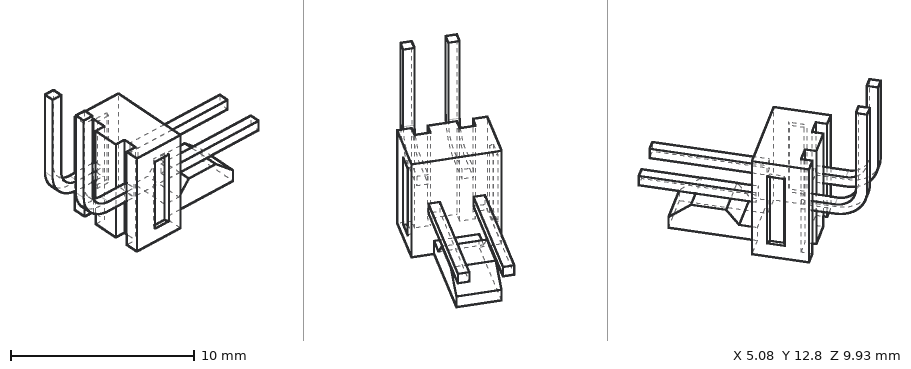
import cadquery as cq

PIN_PITCH = 2.54
PIN_COUNT = 2
HOUSING_WIDTH = PIN_PITCH * PIN_COUNT
HOUSING_DEPTH = 3.21
HOUSING_HEIGHT = 6.35

GROOVE_WIDTH = 0.9
GROOVE_DEPTH = 0.64

OVERALL_LENGTH = 12.83
OVERALL_HEIGHT = 9.93
PIN_SIZE = 0.64
PIN_FRONT_LENGTH = 6.58
BEND_INNER_RADIUS = 1.17

LATCH_WIDTH = 2.54
LATCH_LENGTH = 4.99
LATCH_BASE_HEIGHT = 0.9
LATCH_TOP_HEIGHT = 1.8
LATCH_TIP_HEIGHT = 0.73
LATCH_RAMP_FOOT = 1.01
LATCH_TOP_START = 1.75
LATCH_TOP_END = 3.72

RECESS_LENGTH = 1.03
RECESS_SETBACK = 0.85
RECESS_MARGIN = 0.9
RECESS_DEPTH = 0.26
RECESS_TAPER = 0.12

pin_positions = [(i - (PIN_COUNT - 1) / 2) * PIN_PITCH for i in range(PIN_COUNT)]


def make_housing():
    return cq.Workplane("XY").box(
        HOUSING_WIDTH, HOUSING_DEPTH, HOUSING_HEIGHT, centered=(True, False, False)
    ).translate((0, -HOUSING_DEPTH, 0))


def make_grooves():
    return (
        cq.Workplane("XY")
        .pushPoints([(x, -HOUSING_DEPTH) for x in pin_positions])
        .rect(GROOVE_WIDTH, 2 * GROOVE_DEPTH)
        .extrude(HOUSING_HEIGHT)
    )


def make_side_recess():
    """Recess in the -X wall, narrowing along Y towards its floor."""
    wall_x = -HOUSING_WIDTH / 2
    floor_x = wall_x + RECESS_DEPTH
    front_y = -RECESS_SETBACK
    rear_y = front_y - RECESS_LENGTH
    return (
        cq.Workplane("XY", origin=(0, 0, RECESS_MARGIN))
        .polyline([
            (wall_x, front_y),
            (floor_x, front_y - RECESS_TAPER),
            (floor_x, rear_y + RECESS_TAPER),
            (wall_x, rear_y),
        ])
        .close()
        .extrude(HOUSING_HEIGHT - 2 * RECESS_MARGIN)
    )


def make_latch():
    return (
        cq.Workplane("YZ")
        .polyline([
            (0, 0),
            (LATCH_LENGTH, 0),
            (LATCH_LENGTH, LATCH_TIP_HEIGHT),
            (LATCH_TOP_END, LATCH_TOP_HEIGHT),
            (LATCH_TOP_START, LATCH_TOP_HEIGHT),
            (LATCH_RAMP_FOOT, LATCH_BASE_HEIGHT),
            (0, LATCH_BASE_HEIGHT),
        ])
        .close()
        .extrude(LATCH_WIDTH / 2, both=True)
    )


def make_pin(x):
    """Square wire swept from the front tip, around the bend, to the top end."""
    centre_z = HOUSING_HEIGHT / 2
    bend_radius = BEND_INNER_RADIUS + PIN_SIZE / 2
    upright_y = PIN_FRONT_LENGTH - OVERALL_LENGTH + PIN_SIZE / 2
    path = (
        cq.Workplane("YZ", origin=(x, 0, 0))
        .moveTo(PIN_FRONT_LENGTH, centre_z)
        .lineTo(upright_y + bend_radius, centre_z)
        .tangentArcPoint((upright_y, centre_z + bend_radius), relative=False)
        .lineTo(upright_y, OVERALL_HEIGHT)
    )
    return (
        cq.Workplane("XZ", origin=(x, PIN_FRONT_LENGTH, centre_z))
        .rect(PIN_SIZE, PIN_SIZE)
        .sweep(path)
    )


side_recess = make_side_recess()

result = make_housing().cut(make_grooves())
result = result.cut(side_recess).cut(side_recess.mirror("YZ"))
result = result.union(make_latch())
for pin_x in pin_positions:
    result = result.union(make_pin(pin_x))